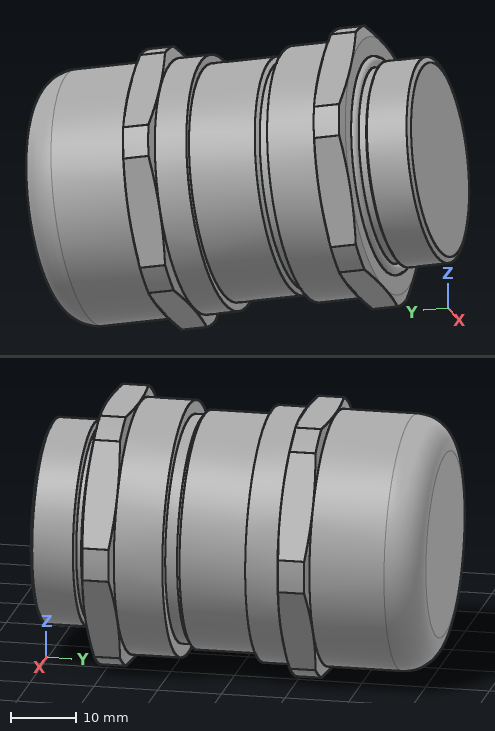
import cadquery as cq
import math

total_length = 61.9

thread_radius = 16.0
thread_tip_radius = 15.05
undercut_radius = 15.15
seal_radius = 16.95
body_radius = 19.9
neck_radius = 17.7
sleeve_radius = 18.5

thread_end = 6.8
undercut_start = 7.2
lower_hex_start = 9.05
body_end = 21.65
neck_end = 23.5
sleeve_start = 24.1
cap_start = 34.65
upper_hex_start = 39.75

tip_chamfer_length = 0.45
dome_radius = 5.45

hex_across_flats = 40.0
hex_corner_diameter = 43.5
hex_width = 5.0
hex_chamfer_angle = 15.0


def turned_body():
    """Revolve the stepped half-profile about the Y axis."""
    dome_start = total_length - dome_radius
    dome_flat_radius = body_radius - dome_radius
    dome_offset = dome_radius * math.sqrt(0.5)
    seal_tube_radius = (seal_radius - undercut_radius) / 2
    seal_centre_radius = undercut_radius + seal_tube_radius
    return (
        cq.Workplane("XY")
        .lineTo(thread_tip_radius, 0)
        .lineTo(thread_radius, tip_chamfer_length)
        .lineTo(thread_radius, thread_end)
        .lineTo(undercut_radius, undercut_start)
        .lineTo(undercut_radius, lower_hex_start)
        .threePointArc(
            (seal_centre_radius, lower_hex_start - seal_tube_radius),
            (seal_radius, lower_hex_start),
        )
        .lineTo(body_radius, lower_hex_start)
        .lineTo(body_radius, body_end)
        .lineTo(neck_radius, body_end)
        .lineTo(neck_radius, neck_end)
        .lineTo(sleeve_radius, sleeve_start)
        .lineTo(sleeve_radius, cap_start)
        .lineTo(body_radius, cap_start)
        .lineTo(body_radius, dome_start)
        .threePointArc(
            (dome_flat_radius + dome_offset, dome_start + dome_offset),
            (dome_flat_radius, total_length),
        )
        .lineTo(0, total_length)
        .close()
        .revolve(360, (0, 0, 0), (0, 1, 0))
    )


def wrench_hexagon(start):
    """Hexagon with corners on +-X, turned down and chamfered on both faces."""
    end = start + hex_width
    flat_radius = hex_across_flats / 2
    corner_radius = hex_corner_diameter / 2
    chamfer_length = (corner_radius - flat_radius) * math.tan(math.radians(hex_chamfer_angle))
    across_corners = hex_across_flats / math.cos(math.radians(30))
    hexagon = (
        cq.Workplane("XZ", origin=(0, start, 0))
        .polygon(6, across_corners)
        .extrude(-hex_width)
    )
    envelope = (
        cq.Workplane("XY")
        .moveTo(0, start)
        .lineTo(flat_radius, start)
        .lineTo(corner_radius, start + chamfer_length)
        .lineTo(corner_radius, end - chamfer_length)
        .lineTo(flat_radius, end)
        .lineTo(0, end)
        .close()
        .revolve(360, (0, 0, 0), (0, 1, 0))
    )
    return hexagon.intersect(envelope)


result = turned_body()
for hex_start in (lower_hex_start, upper_hex_start):
    result = result.union(wrench_hexagon(hex_start))